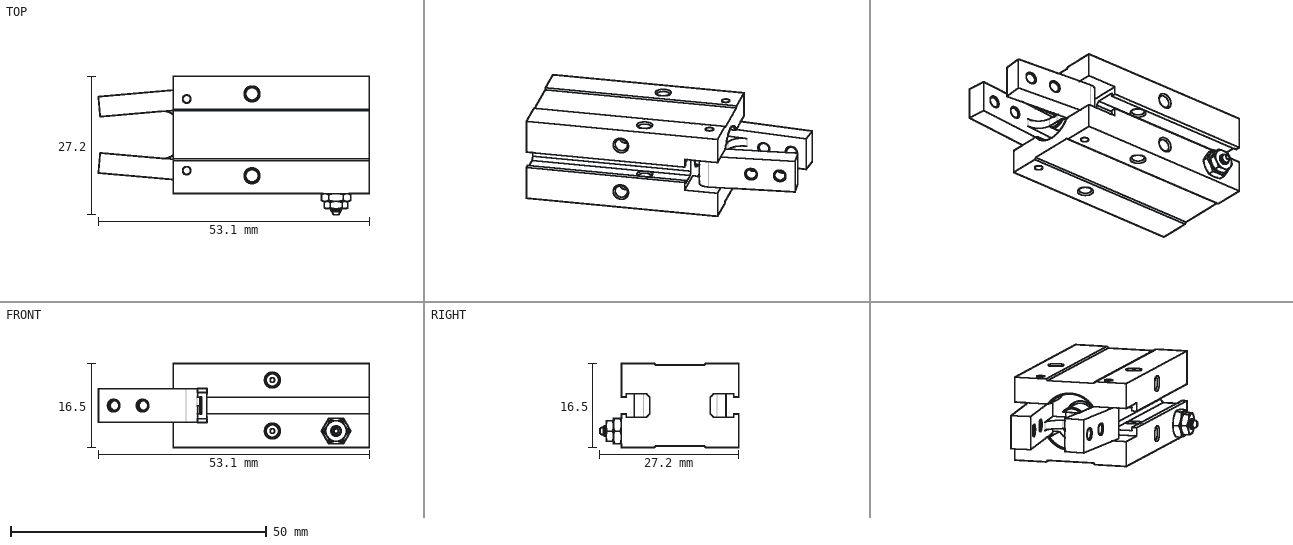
import cadquery as cq
import math


front_x = 14.65
back_x = 53.1
housing_width = 23.0
housing_height = 16.5
half_width = housing_width / 2
half_height = housing_height / 2

recess_half_width = 5.05
recess_depth = 0.3

finger_height = 6.6
slot_floor_x = 21.3
bore_dia = 11.0
bore_chamfer = 0.2

t_slot_opening = 3.3
t_slot_inner_height = 4.55
t_slot_lip = 1.0
t_slot_wall_y = 5.95

mount_dia = 2.45
mount_mouth_dia = 3.1
mount_chamfer = (mount_mouth_dia - mount_dia) / 2
vertical_hole_x = 30.1
vertical_hole_y = 8.0
side_hole_x = 34.1
side_hole_z = 5.0
side_hole_depth = 4.0
side_hole_tip_dia = 0.9
side_hole_tip_angle = 118.0

fitting_x = 46.6
fitting_z = -side_hole_z
base_hex_flats = 5.0
base_hex_height = 1.55
cap_hex_flats = 4.05
cap_hex_height = 1.45
hex_bevel_angle = 30.0
stub_dia = 2.0
stub_height = 0.3
nose_dia = 1.6
nose_taper_height = 0.25
nose_tip_dia = 0.85
nose_height = 0.65
nose_bulge_dia = 1.4

pivot_x = 17.3
pivot_y = 7.0
finger_angle = 5.0
finger_width = 4.0
finger_half = finger_width / 2
lever_thickness = t_slot_opening / 2
lever_reach = 7.0
lever_fillet = 3.0
tap_dia = 2.0
tap_mouth_dia = 2.45
tap_chamfer = (tap_mouth_dia - tap_dia) / 2
tap_tip_distances = (3.05, 8.7)
pin_dia = 1.6
pin_chamfer = 0.05

rod_dia = 5.2
rod_guide_dia = 6.0
rod_tip_x = 15.85
rod_tip_chamfer = 0.2
rod_slot_floor_x = 20.2
rod_end_x = 31.85
rod_cone_length = (rod_guide_dia - rod_dia) / 2


def x_cylinder(diameter, start_x, end_x):
    """Cylinder on the X axis."""
    return cq.Workplane("YZ", origin=(start_x, 0, 0)).circle(diameter / 2).extrude(end_x - start_x)


def bevelled_mouth(small_dia, depth, plane):
    """Countersink cutter: widest on the given plane, narrowing along its normal."""
    large_dia = small_dia + 2 * depth
    return cq.Workplane(plane).circle(large_dia / 2).workplane(offset=depth).circle(small_dia / 2).loft()


def housing_block():
    floor_half_width = recess_half_width - recess_depth
    floor_z = half_height - recess_depth
    outline = [
        (half_width, half_height),
        (recess_half_width, half_height),
        (floor_half_width, floor_z),
        (-floor_half_width, floor_z),
        (-recess_half_width, half_height),
        (-half_width, half_height),
    ]
    outline += [(-y, -z) for y, z in outline]
    length = back_x - front_x
    return cq.Workplane("YZ", origin=(front_x, 0, 0)).polyline(outline).close().extrude(length)


def front_opening():
    """Finger slot across the full width, with the round bore and its bevelled rim."""
    slot_depth = slot_floor_x - front_x
    slot = cq.Workplane("XY").box(slot_depth, housing_width, finger_height)
    slot = slot.translate((front_x + slot_depth / 2, 0, 0))
    rim_plane = cq.Plane(origin=(front_x, 0, 0), xDir=(0, 1, 0), normal=(1, 0, 0))
    return slot.union(x_cylinder(bore_dia, front_x, slot_floor_x)).union(
        bevelled_mouth(bore_dia, bore_chamfer, rim_plane)
    )


def t_slot(side):
    """T-slot cutter on one side (+1 or -1 along Y), its inner corners bevelled at 45 degrees."""
    opening_z = t_slot_opening / 2
    inner_z = t_slot_inner_height / 2
    lip_y = half_width - t_slot_lip
    bevel_y = t_slot_wall_y + inner_z - opening_z
    upper_edge = [
        (t_slot_wall_y, opening_z),
        (bevel_y, inner_z),
        (lip_y, inner_z),
        (lip_y, opening_z),
        (half_width, opening_z),
    ]
    lower_edge = [(y, -z) for y, z in reversed(upper_edge)]
    outline = [(side * y, z) for y, z in upper_edge + lower_edge]
    start = cq.Workplane("YZ", origin=(slot_floor_x, 0, 0))
    return start.polyline(outline).close().extrude(back_x - slot_floor_x)


def vertical_hole(side):
    """Through hole cutter, bevelled at the outer faces and where it opens into the T-slot."""
    y = side * vertical_hole_y
    bottom = cq.Workplane("XY", origin=(vertical_hole_x, y, -half_height))
    cutter = bottom.circle(mount_dia / 2).extrude(housing_height)
    slot_z = t_slot_inner_height / 2
    for end in (-1, 1):
        for mouth_z, inward in ((end * half_height, -end), (end * slot_z, end)):
            plane = cq.Plane(origin=(vertical_hole_x, y, mouth_z), xDir=(1, 0, 0), normal=(0, 0, inward))
            cutter = cutter.union(bevelled_mouth(mount_dia, mount_chamfer, plane))
    return cutter


def side_hole(side, z):
    """Blind hole cutter into one side, with a bevelled mouth and a drill-pointed end."""
    mouth_r = mount_mouth_dia / 2
    hole_r = mount_dia / 2
    tip_r = side_hole_tip_dia / 2
    tip_depth = side_hole_depth + (hole_r - tip_r) / math.tan(math.radians(side_hole_tip_angle / 2))
    profile = [
        (0, 0),
        (mouth_r, 0),
        (hole_r, mount_chamfer),
        (hole_r, side_hole_depth),
        (tip_r, tip_depth),
        (0, tip_depth),
    ]
    inward = cq.Workplane("XY").polyline([(r, -side * depth) for r, depth in profile]).close()
    cutter = inward.revolve(360, (0, 0, 0), (0, 1, 0))
    return cutter.translate((side_hole_x, side * half_width, z))


def bevelled_hex(flats, height, start):
    """Hexagonal nut section along the fitting axis, its corners bevelled at both ends."""
    corner_r = flats / math.sqrt(3)
    face_r = flats / 2
    bevel = (corner_r - face_r) * math.tan(math.radians(hex_bevel_angle))
    hexagon = cq.Workplane("XY").polygon(6, 2 * corner_r).extrude(height)
    profile = [
        (0, 0),
        (face_r, 0),
        (corner_r, bevel),
        (corner_r, height - bevel),
        (face_r, height),
        (0, height),
    ]
    envelope = cq.Workplane("XZ").polyline(profile).close().revolve(360, (0, 0, 0), (0, 1, 0))
    return hexagon.intersect(envelope).translate((0, 0, start))


def fitting():
    """Side fitting: two stacked hexagons and a stub with a rounded nose, pointing along -Y."""
    stub_base = base_hex_height + cap_hex_height
    taper_start = stub_base + stub_height
    nose_start = taper_start + nose_taper_height
    nose_end = nose_start + nose_height
    nose_r = nose_dia / 2
    tip_r = nose_tip_dia / 2
    stub = (
        cq.Workplane("XZ")
        .moveTo(0, stub_base)
        .lineTo(stub_dia / 2, stub_base)
        .lineTo(stub_dia / 2, taper_start)
        .lineTo(nose_r, nose_start)
        .threePointArc((nose_bulge_dia / 2, nose_start + nose_height / 2), (tip_r, nose_end))
        .lineTo(0, nose_end)
        .close()
        .revolve(360, (0, 0, 0), (0, 1, 0))
    )
    upright = (
        bevelled_hex(base_hex_flats, base_hex_height, 0)
        .union(bevelled_hex(cap_hex_flats, cap_hex_height, base_hex_height))
        .union(stub)
    )
    sideways = upright.rotate((0, 0, 0), (1, 0, 0), 90)
    return sideways.translate((fitting_x, -half_width, fitting_z))


def make_housing():
    housing = housing_block().cut(front_opening())
    housing = housing.cut(x_cylinder(rod_guide_dia, slot_floor_x, rod_end_x))
    for side in (-1, 1):
        housing = housing.cut(t_slot(side)).cut(vertical_hole(side))
        for z in (-side_hole_z, side_hole_z):
            housing = housing.cut(side_hole(side, z))
        pin_hole = cq.Workplane("XY").circle(pin_dia / 2).extrude(half_height, both=True)
        housing = housing.cut(pin_hole.translate((pivot_x, side * pivot_y, 0)))
    return housing.union(fitting())


def make_rod():
    """Piston rod with a bevelled front end, slotted across for the two levers."""
    rod = x_cylinder(rod_dia, rod_tip_x, slot_floor_x + rod_cone_length)
    rod = rod.faces("<X").chamfer(rod_tip_chamfer)
    cone_plane = cq.Plane(
        origin=(slot_floor_x + rod_cone_length, 0, 0), xDir=(0, 1, 0), normal=(-1, 0, 0)
    )
    rod = rod.union(bevelled_mouth(rod_dia, rod_cone_length, cone_plane))
    rod = rod.union(x_cylinder(rod_guide_dia, slot_floor_x + rod_cone_length, rod_end_x))
    slot_length = rod_slot_floor_x - rod_tip_x
    slot = cq.Workplane("XY").box(slot_length, rod_dia, 2 * lever_thickness)
    return rod.cut(slot.translate((rod_tip_x + slot_length / 2, 0, 0)))


def make_finger(side):
    """Finger on one side (+1 or -1 along Y) with its pivot pin.

    Shaped with the pivot at the origin, the tip along -X and the lever along +Y, then
    turned and placed. The -Y finger has the upper lever, the +Y finger the lower one.
    """
    tilt = math.radians(finger_angle)
    length = (pivot_x - finger_half * math.sin(tilt)) / math.cos(tilt)
    bar = (
        cq.Workplane("XY", origin=(0, 0, -finger_height / 2))
        .moveTo(-length, -finger_half)
        .lineTo(0, -finger_half)
        .radiusArc((finger_half, 0), -finger_half)
        .lineTo(finger_half, finger_half)
        .lineTo(-length, finger_half)
        .close()
        .extrude(finger_height)
    )
    lever = (
        cq.Workplane("XY")
        .moveTo(finger_half, 0)
        .lineTo(finger_half, lever_reach)
        .radiusArc((-finger_half, lever_reach), -finger_half)
        .lineTo(-finger_half, finger_half + lever_fillet)
        .radiusArc((-finger_half - lever_fillet, finger_half), lever_fillet)
        .lineTo(-finger_half - lever_fillet, 0)
        .close()
        .extrude(lever_thickness)
    )
    finger = bar.union(lever)
    for distance in tap_tip_distances:
        hole = cq.Workplane("XZ", origin=(distance - length, 0, 0)).circle(tap_dia / 2)
        finger = finger.cut(hole.extrude(finger_half, both=True))
        for end in (-1, 1):
            mouth = cq.Plane(
                origin=(distance - length, end * finger_half, 0), xDir=(1, 0, 0), normal=(0, -end, 0)
            )
            finger = finger.cut(bevelled_mouth(tap_dia, tap_chamfer, mouth))
    pin = cq.Workplane("XY").circle(pin_dia / 2).extrude(half_height, both=True)
    pin = pin.faces("<Z or >Z").chamfer(pin_chamfer)
    finger = finger.union(pin).rotate((0, 0, 0), (0, 0, 1), -finger_angle)
    finger = finger.translate((pivot_x, -pivot_y, 0))
    if side > 0:
        finger = finger.rotate((0, 0, 0), (1, 0, 0), 180)
    return finger


housing = make_housing()
rod = make_rod()
fingers = [make_finger(side) for side in (-1, 1)]

result = cq.Compound.makeCompound([housing.val(), rod.val(), *[finger.val() for finger in fingers]])